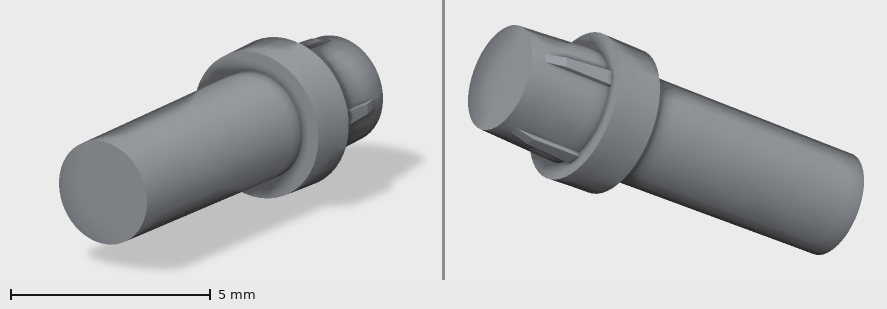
import cadquery as cq
import math


shank_length = 6.68
collar_length = 1.27
nose_length = 2.29

shank_end_radius = 1.345
shank_draft = 0.5
collar_back_radius = 1.943
collar_draft = 1.7
nose_tip_radius = 1.385
nose_draft = 3.0

rib_count = 4
rib_tip_setback = 0.41
rib_knee_setback = 0.93
rib_tip_width = 0.23
rib_base_width = 0.41
rib_knee_radius = 1.56
rib_base_radius = 1.62
rib_root_radius = 1.0


def taper(length, draft):
    """Radius change of a drafted section over its length."""
    return length * math.tan(math.radians(draft))


shank_end_y = -shank_length
collar_back_y = collar_length
nose_tip_y = collar_back_y + nose_length
rib_tip_y = nose_tip_y - rib_tip_setback
rib_knee_y = nose_tip_y - rib_knee_setback

shank_root_radius = shank_end_radius + taper(shank_length, shank_draft)
collar_front_radius = collar_back_radius - taper(collar_length, collar_draft)
nose_base_radius = nose_tip_radius + taper(nose_length, nose_draft)
rib_tip_radius = nose_tip_radius + taper(rib_tip_setback, nose_draft)


def revolve_about_y(points):
    """Solid of revolution about Y from (y, radius) points."""
    return cq.Workplane("YZ").polyline(points).close().revolve(360, (0, 0), (1, 0))


def make_body():
    return revolve_about_y([
        (shank_end_y, 0),
        (shank_end_y, shank_end_radius),
        (0, shank_root_radius),
        (0, collar_front_radius),
        (collar_back_y, collar_back_radius),
        (collar_back_y, nose_base_radius),
        (nose_tip_y, nose_tip_radius),
        (nose_tip_y, 0),
    ])


def make_rib():
    """Rib on the +Z side: narrowing sidewalls, conical crest and conical end ramp."""
    plan = [
        (-rib_base_width / 2, collar_back_y),
        (rib_base_width / 2, collar_back_y),
        (rib_tip_width / 2, rib_tip_y),
        (-rib_tip_width / 2, rib_tip_y),
    ]
    wedge = (
        cq.Workplane("XY", origin=(0, 0, rib_root_radius))
        .polyline(plan).close()
        .extrude(rib_base_radius - rib_root_radius)
    )

    envelope = revolve_about_y([
        (collar_back_y, 0),
        (collar_back_y, rib_base_radius),
        (rib_knee_y, rib_knee_radius),
        (rib_tip_y, rib_tip_radius),
        (rib_tip_y, 0),
    ])
    return wedge.intersect(envelope)


result = make_body()
rib = make_rib()
for index in range(rib_count):
    angle = index * 360 / rib_count
    result = result.union(rib.rotate((0, 0, 0), (0, 1, 0), angle))